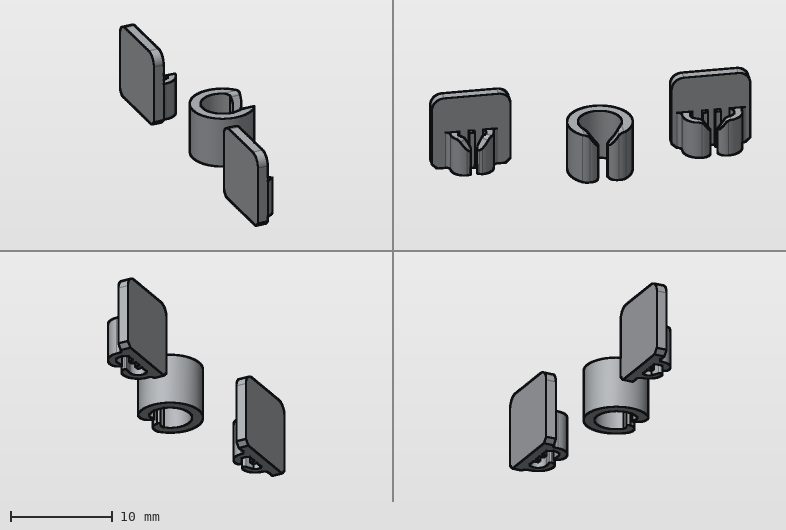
import cadquery as cq
import math

total_length = 31.83
plate_size = 7.85
plate_thickness = 1.08
plate_corner_radius = 1.2
plate_bottom_chamfer = 0.5

arm_height = 3.98
arm_root_fillet = 0.4
peg_width = 0.55
peg_depth = 0.48
wide_peg_offset = 0.65

wide_bend_x = -1.3
wide_bend_y = 0.7
wide_bend_outer = 1.7
wide_bend_inner = 0.9

narrow_bend_x = -0.75
narrow_bend_y = 0.48
narrow_bend_outer = 1.4
narrow_bend_inner = 0.65

ring_x = 15.53
ring_y = 3.85
ring_outer = 3.25
ring_inner = 2.15
ring_height = 5.3
lip_outer_x = -2.15
lip_inner_x = -1.53

slope_angle = math.radians(56)
slope_round_radius = 0.65
slope_reach = 3.82
ring_slope_start = -1.97
wide_slope_start = -1.6
narrow_slope_start = -0.3
narrow_slope_turn = 45.0


def on_circle(center, radius, angle):
    """Point on a circle at an angle in radians."""
    return (center[0] + radius * math.cos(angle), center[1] + radius * math.sin(angle))


def mirrored(point):
    """Mirror image of a point across X = 0."""
    return (-point[0], point[1])


def mirrored_pair(left):
    """The left-hand shape together with its mirror image in the YZ plane."""
    return left.union(left.mirror("YZ"))


def lead_in_cutter(start, top, back):
    """Material above a slope that falls towards +X, with a rounded start at the top face.

    It spans from Y = 0 to Y = back.
    """
    arc_center = (start, top - slope_round_radius)
    arc_middle = on_circle(arc_center, slope_round_radius, (math.pi - slope_angle) / 2)
    arc_end = on_circle(arc_center, slope_round_radius, math.pi / 2 - slope_angle)
    run = start + slope_reach - arc_end[0]
    low_end = (start + slope_reach, arc_end[1] - run * math.tan(slope_angle))
    return (
        cq.Workplane("XZ").moveTo(start, top)
        .threePointArc(arc_middle, arc_end)
        .lineTo(*low_end)
        .lineTo(low_end[0], top)
        .close()
        .extrude(-back)
    )


def make_plate():
    """Upright square plate with rounded top corners and chamfered bottom corners."""
    return (
        cq.Workplane("XY")
        .box(plate_size, plate_thickness, plate_size, centered=(True, False, False))
        .edges("|Y and >Z").fillet(plate_corner_radius)
        .edges("|Y and <Z").chamfer(plate_bottom_chamfer)
    )


def start_hook(bend, outer):
    """Outline of a left hook from the back of the plate up to the start of its bend."""
    side_x = bend[0] - outer
    fillet_center = (side_x - arm_root_fillet, arm_root_fillet)
    return (
        cq.Workplane("XY", origin=(0, plate_thickness, 0))
        .moveTo(side_x - arm_root_fillet, 0)
        .threePointArc(on_circle(fillet_center, arm_root_fillet, -math.pi / 4), (side_x, arm_root_fillet))
        .lineTo(side_x, bend[1])
    )


def inner_foot(bend, inner):
    """Point where the inner circle of a bend meets the back of the plate."""
    return (bend[0] - math.sqrt(inner**2 - bend[1]**2), 0)


def wide_hook():
    bend = (wide_bend_x, wide_bend_y)
    tip_top = (-0.35, 1.7)
    tip_bottom = (-0.48, 1.53)
    crest_middle = (-0.6, 2.13)
    tip_middle = (-0.38, 1.55)
    return (
        start_hook(bend, wide_bend_outer)
        .threePointArc(
            on_circle(bend, wide_bend_outer, math.radians(135)),
            on_circle(bend, wide_bend_outer, math.pi / 2),
        )
        .threePointArc(crest_middle, tip_top)
        .threePointArc(tip_middle, tip_bottom)
        .lineTo(*on_circle(bend, wide_bend_inner, math.pi / 2))
        .threePointArc((bend[0] - wide_bend_inner, bend[1]), inner_foot(bend, wide_bend_inner))
        .close()
        .extrude(arm_height)
    )


def narrow_hook():
    bend = (narrow_bend_x, narrow_bend_y)
    tip_top = (-0.5, 1.8)
    tip_bottom = (-0.45, 1.35)
    tip_middle = (-0.32, 1.55)
    return (
        start_hook(bend, narrow_bend_outer)
        .threePointArc(on_circle(bend, narrow_bend_outer, math.radians(140)),
                       on_circle(bend, narrow_bend_outer, math.pi / 2))
        .lineTo(*tip_top)
        .threePointArc(tip_middle, tip_bottom)
        .lineTo(*on_circle(bend, narrow_bend_inner, math.radians(135)))
        .threePointArc((bend[0] - narrow_bend_inner, bend[1]), inner_foot(bend, narrow_bend_inner))
        .close()
        .extrude(arm_height)
    )


def make_clip(hook, peg_offsets):
    """Plate carrying a mirrored pair of hooks and the pegs between them."""
    clip = make_plate().union(mirrored_pair(hook))
    for offset in peg_offsets:
        peg = (
            cq.Workplane("XY", origin=(offset, plate_thickness, 0))
            .box(peg_width, peg_depth, arm_height, centered=(True, False, False))
        )
        clip = clip.union(peg)
    return clip


def make_wide_clip():
    hook = wide_hook().cut(lead_in_cutter(wide_slope_start, arm_height, slope_reach))
    return make_clip(hook, (-wide_peg_offset, wide_peg_offset))


def make_narrow_clip():
    cutter = (
        lead_in_cutter(narrow_slope_start, arm_height, slope_reach)
        .rotate((0, 0, 0), (0, 0, 1), narrow_slope_turn)
        .translate((0, plate_thickness, 0))
    )
    return make_clip(narrow_hook().cut(cutter), (0,))


def make_ring():
    """Round ring with an opening between two rounded lips."""
    lip_outer = (lip_outer_x, math.sqrt(ring_outer**2 - lip_outer_x**2))
    lip_inner = (lip_inner_x, math.sqrt(ring_inner**2 - lip_inner_x**2))
    lip_crest = (-1.45, 2.6)
    tip_top = (-0.5, 1.78)
    tip_bottom = (-0.67, 1.43)
    shoulder_middle = (-1.8, 2.58)
    crest_middle = (-0.73, 2.32)
    tip_middle = (-0.5, 1.45)
    scallop_middle = (-1.05, 1.62)
    outline = (
        cq.Workplane("XY")
        .moveTo(*lip_outer)
        .threePointArc(shoulder_middle, lip_crest)
        .threePointArc(crest_middle, tip_top)
        .threePointArc(tip_middle, tip_bottom)
        .threePointArc(scallop_middle, lip_inner)
        .threePointArc((0, -ring_inner), mirrored(lip_inner))
        .threePointArc(mirrored(scallop_middle), mirrored(tip_bottom))
        .threePointArc(mirrored(tip_middle), mirrored(tip_top))
        .threePointArc(mirrored(crest_middle), mirrored(lip_crest))
        .threePointArc(mirrored(shoulder_middle), mirrored(lip_outer))
        .threePointArc((0, -ring_outer), lip_outer)
        .close()
    )
    left_cutter = lead_in_cutter(ring_slope_start, ring_height, ring_outer)
    left_zone = (
        cq.Workplane("XY")
        .box(ring_outer, ring_outer, ring_height, centered=False)
        .translate((-ring_outer, 0, 0))
    )
    left_cutter = left_cutter.intersect(left_zone)
    return outline.extrude(ring_height).cut(left_cutter).cut(left_cutter.mirror("YZ"))


wide_clip = make_wide_clip().translate((plate_size / 2, 0, 0))
ring = make_ring().translate((ring_x, ring_y, 0))
narrow_clip = make_narrow_clip().translate((total_length - plate_size / 2, 0, 0))

result = cq.Compound.makeCompound([wide_clip.val(), ring.val(), narrow_clip.val()])